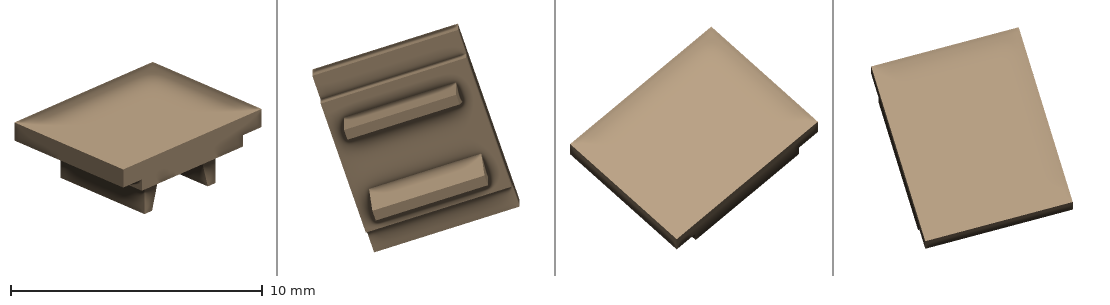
import cadquery as cq

plate_width = 6.1
plate_length = 7.8
plate_thickness = 0.8

step_length = 5.7
step_thickness = 0.5

leg_width = 4.7
leg_span = 4.0
leg_height = 1.56
leg_root_thickness = 0.85
leg_tip_thickness = 0.43

step_bottom = leg_height
plate_bottom = step_bottom + step_thickness


def slab(length, thickness, bottom):
    """Full-width rectangular slab centred on the Z axis."""
    return (
        cq.Workplane("XY")
        .workplane(offset=bottom)
        .rect(plate_width, length)
        .extrude(thickness)
    )


def leg(side):
    """Leg on the +Y (side = 1) or -Y (side = -1) half, tapered on its inner face."""
    outer = leg_span / 2
    profile = [
        (side * outer, 0),
        (side * outer, leg_height),
        (side * (outer - leg_root_thickness), leg_height),
        (side * (outer - leg_tip_thickness), 0),
    ]
    return cq.Workplane("YZ").polyline(profile).close().extrude(leg_width / 2, both=True)


result = slab(plate_length, plate_thickness, plate_bottom)
result = result.union(slab(step_length, step_thickness, step_bottom))
for side in (-1, 1):
    result = result.union(leg(side))